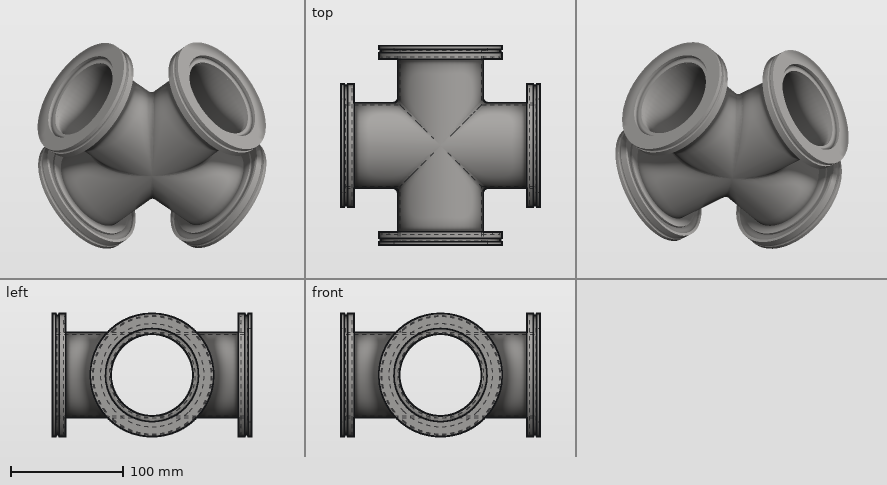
import cadquery as cq

span = 177.8
half_span = span / 2

pipe_diameter = 76.5
bore_diameter = 72.9
weld_radius = 3.5

flange_diameter = 110.0
face_recess_diameter = 83.0
relief_outer_diameter = 104.9
relief_inner_diameter = 92.3

flange_thickness = 12.0
face_recess_depth = 4.0
pipe_end_depth = 6.0
relief_depth = 2.1

rim_groove_radius = 1.5
rim_groove_depth = 1.8
rim_groove_position = 4.6


def crossed_cylinders(diameter, length):
    """Two equal cylinders along X and Y, crossing at their middles."""
    along_x = cq.Workplane("YZ").circle(diameter / 2).extrude(length / 2, both=True)
    along_y = cq.Workplane("XZ").circle(diameter / 2).extrude(length / 2, both=True)
    return along_x.union(along_y)


def make_pipe_cross():
    """Hollow cross with filleted joints between its four arms."""
    length = span - 2 * pipe_end_depth
    outside = crossed_cylinders(pipe_diameter, length)
    mitre_edges = [edge for edge in outside.edges().vals() if edge.geomType() not in ("LINE", "CIRCLE")]
    outside = outside.newObject(mitre_edges).fillet(weld_radius)
    return outside.cut(crossed_cylinders(bore_diameter, length))


def bored_disc(start, depth, diameter, inner_diameter=0.0):
    """Disc, or ring when an inner diameter is given, about Z from height start."""
    disc = cq.Workplane("XY").workplane(offset=start).circle(diameter / 2)
    if inner_diameter > 0:
        disc = disc.circle(inner_diameter / 2)
    return disc.extrude(depth)


def make_rim_groove():
    """Ring with a U-shaped section that cuts the groove into the flange rim."""
    rim = flange_diameter / 2
    floor = rim - rim_groove_depth
    low = rim_groove_position - rim_groove_radius
    high = rim_groove_position + rim_groove_radius
    section = (
        cq.Workplane("XZ")
        .moveTo(rim, low)
        .lineTo(floor + rim_groove_radius, low)
        .threePointArc((floor, rim_groove_position), (floor + rim_groove_radius, high))
        .lineTo(rim, high)
        .close()
    )
    return section.revolve(360, (0, 0, 0), (0, 1, 0))


def make_flange():
    """Flange about Z with its sealing face at Z = 0 and its rear face above."""
    flange = bored_disc(0, flange_thickness, flange_diameter, bore_diameter)
    face_recess = bored_disc(0, face_recess_depth, face_recess_diameter)
    pipe_socket = bored_disc(pipe_end_depth, flange_thickness - pipe_end_depth, pipe_diameter)
    rear_relief = bored_disc(
        flange_thickness - relief_depth, relief_depth, relief_outer_diameter, relief_inner_diameter
    )
    rim_groove = make_rim_groove()
    return flange.cut(face_recess).cut(pipe_socket).cut(rear_relief).cut(rim_groove)


def place_flange(angle):
    """Flange on the arm that points at this angle from +X, rear face inward."""
    flange = make_flange().rotate((0, 0, 0), (0, 1, 0), -90)
    return flange.translate((half_span, 0, 0)).rotate((0, 0, 0), (0, 0, 1), angle)


pipe_cross = make_pipe_cross()
flanges = [place_flange(angle) for angle in (0, 90, 180, 270)]

result = cq.Compound.makeCompound([pipe_cross.val(), *[flange.val() for flange in flanges]])